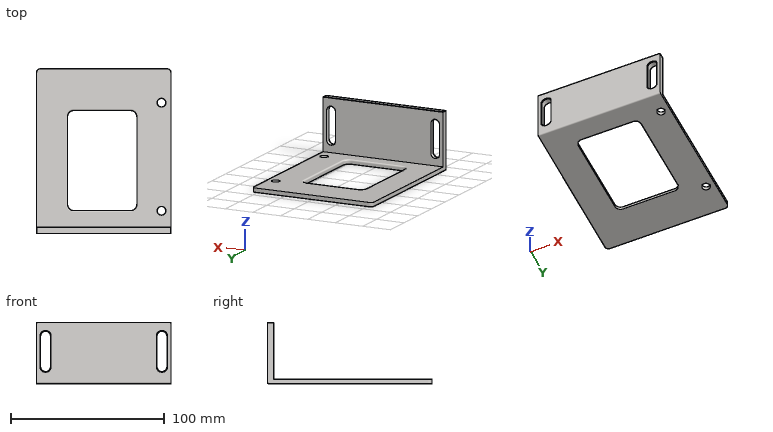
import cadquery as cq

width = 87.6
depth = 107.32
height = 40.0
base_thickness = 3.0
wall_thickness = 4.2
rear_corner_radius = 2.5
front_edge_radius = 1.0
wall_top_chamfer = 0.3

window_width = 45.0
window_length = 65.0
window_center_x = -1.0
window_center_y = 47.5
window_corner_radius = 4.0
window_rim_radius = 1.0

hole_diameter = 5.5
hole_edge_distance = 6.2
hole_y_positions = (14.8, 85.2)

slot_width = 6.3
slot_length = 26.2
slot_edge_distance = 5.9
slot_center_z = 21.1
slot_chamfer = 0.5


def make_bracket():
    """L-shaped body: the wall stands on the front edge of the base."""
    base = (
        cq.Workplane("XY")
        .box(width, depth, base_thickness, centered=(True, False, False))
        .edges("|Z and >Y")
        .fillet(rear_corner_radius)
    )
    wall = cq.Workplane("XY").box(width, wall_thickness, height, centered=(True, False, False))
    wall = wall.edges(">Z and (not <Y)").chamfer(wall_top_chamfer)
    return base.union(wall).edges("|X and <Y and <Z").fillet(front_edge_radius)


def cut_window(body):
    """Cut the rounded window through the base and round its upper rim."""
    window = (
        cq.Workplane("XY")
        .center(window_center_x, window_center_y)
        .rect(window_width, window_length)
        .extrude(base_thickness)
        .edges("|Z")
        .fillet(window_corner_radius)
    )
    rim_half_width = window_width / 2 + window_rim_radius
    rim_half_length = window_length / 2 + window_rim_radius
    left = window_center_x - rim_half_width
    right = window_center_x + rim_half_width
    front = window_center_y - rim_half_length
    rear = window_center_y + rim_half_length
    rim = cq.selectors.BoxSelector(
        (left, front, base_thickness - window_rim_radius),
        (right, rear, base_thickness + window_rim_radius),
    )
    return body.cut(window).edges(rim).fillet(window_rim_radius)


def drill_holes(body):
    """Drill the mounting holes through the base."""
    hole_x = width / 2 - hole_edge_distance
    for hole_y in hole_y_positions:
        hole = cq.Workplane("XY").center(hole_x, hole_y).circle(hole_diameter / 2).extrude(base_thickness)
        body = body.cut(hole)
    return body


def cut_slots(body):
    """Cut the two vertical slots through the wall and chamfer their front rims."""
    slot_x = width / 2 - slot_edge_distance
    for center_x in (-slot_x, slot_x):
        slot = (
            cq.Workplane("XZ")
            .center(center_x, slot_center_z)
            .slot2D(slot_length, slot_width, angle=90)
            .extrude(-wall_thickness)
        )
        rim = cq.selectors.BoxSelector(
            (center_x - slot_width / 2 - slot_chamfer, -slot_chamfer, slot_center_z - slot_length / 2),
            (center_x + slot_width / 2 + slot_chamfer, slot_chamfer, slot_center_z + slot_length / 2),
        )
        body = body.cut(slot)
        body = body.edges(rim).chamfer(slot_chamfer)
    return body


result = cut_slots(drill_holes(cut_window(make_bracket())))